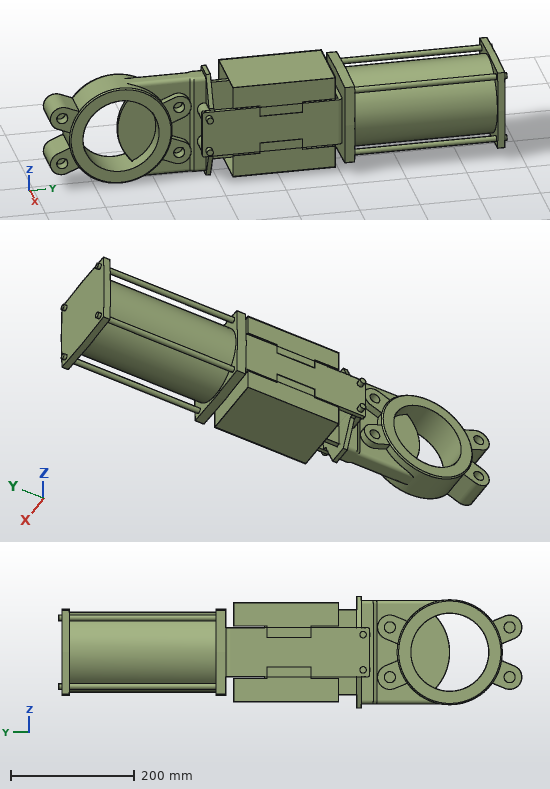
import cadquery as cq
import math


BORE_RADIUS = 63.0
RING_RADIUS = 170.5 / 2
RING_HALF_WIDTH = 53.0 / 2
FACE_CHAMFER = 2.0
FACE_HALF_WIDTH = RING_HALF_WIDTH + FACE_CHAMFER

BOLT_CIRCLE_RADIUS = 105.0
LUG_ANGLE = 22.6
LUG_RADIUS = 40.0 / 2
LUG_HOLE_DIAMETER = 18.0
LUG_HOLE_DEPTH = 18.0

PLATE_HALF_WIDTH = 14.0
NECK_HALF_WIDTH = 17.0
NECK_HALF_HEIGHT = 84.0
NECK_START = 118.0
NECK_TAPER = 6.0
NECK_EDGE_RADIUS = 6.4

FLANGE_TOP_Y = 151.0
FLANGE_THICKNESS = 7.5
FLANGE_HALF_HEIGHT = 181.0 / 2
FLANGE_TIP_HALF_WIDTH = 17.0
FLANGE_SHOULDER_HALF_WIDTH = 40.5
BOSS_DIAMETER = 22.5
BOSS_Y = 140.5
BOSS_Z = 28.5
STUD_DIAMETER = 10.5
STUD_LENGTH = 10.0

GATE_THICKNESS = 7.5
GATE_HALF_HEIGHT = 69.0
GATE_TIP_RADIUS = 86.5
GATE_TOP_Y = 300.5

YOKE_HALF_WIDTH = 53.0
YOKE_HALF_HEIGHT = 40.0
ARM_THICKNESS = 7.0
YOKE_BACK_THICKNESS = 7.0
YOKE_BEND_RADIUS = 7.5
YOKE_END_Y = 130.0
ARM_CORNER_RADIUS = 3.0

GUARD_FRONT_Y = 180.0
GUARD_BACK_Y = 351.0
GUARD_HALF_HEIGHT = 80.5
GUARD_SHEET = 1.0
GUARD_GAP = 2.6
TAB_FRONT_Y = 225.5
TAB_BACK_Y = 296.0
TAB_HALF_HEIGHT = 24.0

FRONT_CAP_Y = 363.0
FRONT_CAP_THICKNESS = 16.5
TUBE_LENGTH = 237.5
REAR_CAP_THICKNESS = 12.0
CAP_HALF_WIDTH = 70.0
CAP_CORNER_HALF_WIDTH = 67.5
TUBE_DIAMETER = 130.0
TIE_ROD_DIAMETER = 10.0
TIE_ROD_OFFSET = 55.5
PISTON_ROD_DIAMETER = 25.5

ARM_INNER_X = YOKE_HALF_WIDTH - ARM_THICKNESS
TUBE_START_Y = FRONT_CAP_Y + FRONT_CAP_THICKNESS
TUBE_END_Y = TUBE_START_Y + TUBE_LENGTH
OVERALL_LENGTH = 751
TIE_ROD_END_Y = OVERALL_LENGTH - BOLT_CIRCLE_RADIUS * math.cos(math.radians(LUG_ANGLE)) - LUG_RADIUS


def box(x_range, y_range, z_range):
    """Box between the given limits."""
    size = [limits[1] - limits[0] for limits in (x_range, y_range, z_range)]
    corner = (x_range[0], y_range[0], z_range[0])
    return cq.Workplane("XY").box(*size, centered=False).translate(corner)


def rod_along_x(diameter, x_start, x_end, y, z):
    """Cylinder parallel to X."""
    rod = cq.Workplane("YZ").center(y, z).circle(diameter / 2)
    return rod.extrude(x_end - x_start).translate((x_start, 0, 0))


def rod_along_y(diameter, y_start, y_end, x=0, z=0):
    """Cylinder parallel to Y."""
    rod = cq.Workplane("XZ", origin=(x, y_start, z)).circle(diameter / 2)
    return rod.extrude(y_start - y_end)


def make_gate():
    """Flat gate plate with an arc-shaped cutting edge that reaches the bore centre."""
    shoulder_y = GATE_TIP_RADIUS - math.sqrt(GATE_TIP_RADIUS**2 - GATE_HALF_HEIGHT**2)
    return (
        cq.Workplane("YZ")
        .moveTo(GATE_TOP_Y, -GATE_HALF_HEIGHT)
        .lineTo(shoulder_y, -GATE_HALF_HEIGHT)
        .threePointArc((0, 0), (shoulder_y, GATE_HALF_HEIGHT))
        .lineTo(GATE_TOP_Y, GATE_HALF_HEIGHT)
        .close()
        .extrude(GATE_THICKNESS / 2, both=True)
    )


def make_ring():
    """Ring around the bore with a chamfered raised face on both sides."""
    return (
        cq.Workplane("YZ")
        .circle(RING_RADIUS)
        .extrude(FACE_HALF_WIDTH, both=True)
        .edges("%CIRCLE")
        .chamfer(FACE_CHAMFER)
    )


def make_lug(angle):
    """Round-ended radial lug; the bolt hole is cut later."""
    return (
        cq.Workplane("YZ")
        .slot2D(BOLT_CIRCLE_RADIUS + 2 * LUG_RADIUS, 2 * LUG_RADIUS)
        .extrude(RING_HALF_WIDTH, both=True)
        .translate((0, BOLT_CIRCLE_RADIUS / 2, 0))
        .rotate((0, 0, 0), (1, 0, 0), angle)
    )


def make_neck():
    """Plate from the ring to the flange, wider near the flange, with rounded long edges."""
    half_profile = [
        (PLATE_HALF_WIDTH, 0),
        (PLATE_HALF_WIDTH, NECK_START),
        (NECK_HALF_WIDTH, NECK_START + NECK_TAPER),
        (NECK_HALF_WIDTH, FLANGE_TOP_Y),
    ]
    mirrored = [(-x, y) for x, y in reversed(half_profile)]
    return (
        cq.Workplane("XY")
        .polyline(half_profile + mirrored)
        .close()
        .extrude(NECK_HALF_HEIGHT, both=True)
        .faces("|Z")
        .edges("not |X")
        .fillet(NECK_EDGE_RADIUS)
    )


def make_flange():
    """Flange plate that narrows towards its top and bottom ends."""
    corner = [
        (ARM_INNER_X, YOKE_HALF_HEIGHT),
        (FLANGE_SHOULDER_HALF_WIDTH, YOKE_HALF_HEIGHT),
        (FLANGE_TIP_HALF_WIDTH, FLANGE_HALF_HEIGHT),
    ]
    upper = corner + [(-x, z) for x, z in reversed(corner)]
    lower = [(-x, -z) for x, z in upper]
    return (
        cq.Workplane("XZ", origin=(0, FLANGE_TOP_Y, 0))
        .polyline(upper + lower)
        .close()
        .extrude(FLANGE_THICKNESS)
    )


def make_valve_body():
    """Ring, lugs, neck, flange and bosses with the bore, blind bolt holes and gate slot cut out."""
    lug_angles = [LUG_ANGLE, 180 - LUG_ANGLE, 180 + LUG_ANGLE, -LUG_ANGLE]
    body = make_ring().union(make_neck()).union(make_flange())
    for angle in lug_angles:
        body = body.union(make_lug(angle))
    for height in (-BOSS_Z, BOSS_Z):
        body = body.union(rod_along_x(BOSS_DIAMETER, -ARM_INNER_X, ARM_INNER_X, BOSS_Y, height))
    body = body.cut(rod_along_x(2 * BORE_RADIUS, -FACE_HALF_WIDTH, FACE_HALF_WIDTH, 0, 0))
    for angle in lug_angles:
        hole_y = BOLT_CIRCLE_RADIUS * math.cos(math.radians(angle))
        hole_z = BOLT_CIRCLE_RADIUS * math.sin(math.radians(angle))
        for side in (-1, 1):
            x_ends = sorted((side * RING_HALF_WIDTH, side * (RING_HALF_WIDTH - LUG_HOLE_DEPTH)))
            body = body.cut(rod_along_x(LUG_HOLE_DIAMETER, *x_ends, hole_y, hole_z))
    return body.cut(make_gate())


def make_yoke():
    """U-shaped strap with rounded bends and with studs at the arm ends."""
    y_back = FRONT_CAP_Y - YOKE_BACK_THICKNESS
    yoke = box(
        (-YOKE_HALF_WIDTH, YOKE_HALF_WIDTH),
        (YOKE_END_Y, FRONT_CAP_Y),
        (-YOKE_HALF_HEIGHT, YOKE_HALF_HEIGHT),
    )
    yoke = yoke.edges(">Y and |Z").fillet(YOKE_BEND_RADIUS)
    yoke = yoke.edges("<Y and |X").fillet(ARM_CORNER_RADIUS)
    yoke = yoke.cut(
        box((-ARM_INNER_X, ARM_INNER_X), (YOKE_END_Y, y_back), (-YOKE_HALF_HEIGHT, YOKE_HALF_HEIGHT))
    )
    for side, height in [(side, z) for side in (-1, 1) for z in (-BOSS_Z, BOSS_Z)]:
        x_ends = sorted((side * ARM_INNER_X, side * (YOKE_HALF_WIDTH + STUD_LENGTH)))
        yoke = yoke.union(rod_along_x(STUD_DIAMETER, *x_ends, BOSS_Y, height))
    return yoke


def make_upper_guard():
    """Sheet box, open at the front and below, whose side tabs lie on the outer faces of the arms."""
    bottom_z = YOKE_HALF_HEIGHT + GUARD_GAP
    outer_x = YOKE_HALF_WIDTH + GUARD_SHEET
    x_range = (-outer_x, outer_x)
    guard = box(x_range, (GUARD_FRONT_Y, GUARD_BACK_Y), (bottom_z, GUARD_HALF_HEIGHT))
    guard = guard.union(box(x_range, (TAB_FRONT_Y, TAB_BACK_Y), (TAB_HALF_HEIGHT, bottom_z)))
    inside = box(
        (-YOKE_HALF_WIDTH, YOKE_HALF_WIDTH),
        (GUARD_FRONT_Y, GUARD_BACK_Y - GUARD_SHEET),
        (TAB_HALF_HEIGHT, GUARD_HALF_HEIGHT - GUARD_SHEET),
    )
    return guard.cut(inside)


def make_cap(y_start, thickness):
    """Square end cap whose four sides rise slightly to a ridge at mid-side."""
    outline = [
        (CAP_CORNER_HALF_WIDTH, CAP_CORNER_HALF_WIDTH),
        (0, CAP_HALF_WIDTH),
        (-CAP_CORNER_HALF_WIDTH, CAP_CORNER_HALF_WIDTH),
        (-CAP_HALF_WIDTH, 0),
        (-CAP_CORNER_HALF_WIDTH, -CAP_CORNER_HALF_WIDTH),
        (0, -CAP_HALF_WIDTH),
        (CAP_CORNER_HALF_WIDTH, -CAP_CORNER_HALF_WIDTH),
        (CAP_HALF_WIDTH, 0),
    ]
    return cq.Workplane("XZ", origin=(0, y_start, 0)).polyline(outline).close().extrude(-thickness)


def make_cylinder():
    """Tube between two caps, with four tie rods and the piston rod that ends on the gate."""
    cylinder = make_cap(FRONT_CAP_Y, FRONT_CAP_THICKNESS)
    cylinder = cylinder.union(rod_along_y(TUBE_DIAMETER, TUBE_START_Y, TUBE_END_Y))
    cylinder = cylinder.union(make_cap(TUBE_END_Y, REAR_CAP_THICKNESS))
    for x in (-TIE_ROD_OFFSET, TIE_ROD_OFFSET):
        for z in (-TIE_ROD_OFFSET, TIE_ROD_OFFSET):
            cylinder = cylinder.union(rod_along_y(TIE_ROD_DIAMETER, TUBE_START_Y, TIE_ROD_END_Y, x, z))
    return cylinder.union(rod_along_y(PISTON_ROD_DIAMETER, GATE_TOP_Y, FRONT_CAP_Y))


def make_actuator():
    """Cylinder, yoke and the upper and lower guards."""
    upper_guard = make_upper_guard()
    lower_guard = upper_guard.mirror("XY")
    return make_cylinder().union(make_yoke()).union(upper_guard).union(lower_guard)


valve_body = make_valve_body()
gate = make_gate()
actuator = make_actuator()

result = cq.Compound.makeCompound([valve_body.val(), gate.val(), actuator.val()])